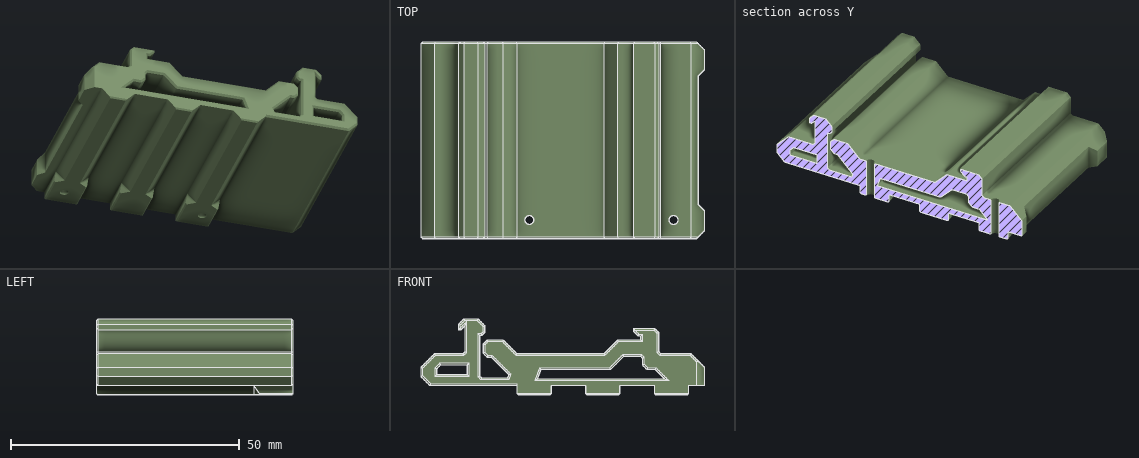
import cadquery as cq
import math

LENGTH_X = 62.0
WIDTH_Y = 43.0
HEIGHT = 16.6
END_X = LENGTH_X / 2
END_Y = WIDTH_Y / 2

BASE_Z = 2.0
DECK_Z = 9.0
RAISED_Z = 12.0
LIP_TOP_Z = 14.5
LEDGE_X = 28.0
SLOPE = 3.0
TOE = 2.0
ROOT = 0.4
EDGE_CHAMFER = 0.4

UPRIGHT_LEFT_X = -21.4
UPRIGHT_RIGHT_X = -18.1
HOOK_TIP_X = -22.8
HOOK_TOP_X = -21.6
HOOK_TIP_Z = 14.2
HEAD_TOP_X = -18.5
HEAD_RIGHT_X = -17.0
HEAD_BEVEL = HEAD_RIGHT_X - HEAD_TOP_X
HEAD_BOTTOM_Z = 13.0
TIP_FLAT = 0.6

SLOT_FLOOR_Z = 3.7
SLOT_END_X = -12.05
SLOT_CORNER_X = -11.8
SLOT_CORNER_Z = 4.4
NOSE_LEFT_X = -17.4
NOSE_BOTTOM_Z = 8.2
NOSE_BEVEL = 0.9

DECK_LEFT_X = -10.0
DECK_RIGHT_X = 9.0

LIP_WALL_X = 17.0
LIP_RIGHT_X = 21.0
LIP_TIP_X = 15.4
LIP_BEVEL = 0.9
LIP_TIP_Z = LIP_TOP_Z - TIP_FLAT
LIP_UNDER_X = 16.5
LIP_UNDER_Z = LIP_TIP_Z - (LIP_UNDER_X - LIP_TIP_X)

LEFT_HOLLOW_X = (-27.5, -20.9)
LEFT_HOLLOW_Z = (4.4, 6.5)
LEFT_HOLLOW_BEVEL = 0.8

HOLLOW_FLOOR_Z = 3.5
HOLLOW_DECK_Z = 5.5
HOLLOW_TOP_Z = 8.4
HOLLOW_LEFT_X = -5.5
HOLLOW_LEFT_TOP_X = -4.75
HOLLOW_RISE_X = 10.4
HOLLOW_WALL_X = 17.4
HOLLOW_CORNER = 0.4
HOLLOW_STEP_X = 18.4
HOLLOW_END_X = 20.2

PAD_WIDTH = 7.5
PAD_PITCH = 15.0
PAD_FIRST_X = -10.0
PAD_COUNT = 3
PAD_CHAMFER = 0.3
FLANK_START_Y = -12.9
FLANK_RUNOUT = BASE_Z / math.sqrt(2)

CORNER_CUT = 1.8
RECESS_DEPTH = 1.4
RECESS_HALF_WIDTH = 14.0

HOLE_DIAMETER = 1.9
HOLE_Y = -17.4
HOLES_X = (-7.3, 24.2)

OVERCUT = 1.0


def prism(points):
    """Extrude an XZ outline over the full width, centred on Y."""
    return cq.Workplane("XZ").polyline(points).close().extrude(END_Y, both=True)


def outer_outline():
    """Profile of the body without pads, clockwise from the lower left."""
    left_end = [
        (-END_X + TOE, BASE_Z),
        (-END_X, BASE_Z + TOE),
        (-END_X, DECK_Z - SLOPE),
        (-LEDGE_X, DECK_Z),
    ]
    hook = [
        (UPRIGHT_LEFT_X - ROOT, DECK_Z),
        (UPRIGHT_LEFT_X, DECK_Z + ROOT),
        (UPRIGHT_LEFT_X, HOOK_TIP_Z + UPRIGHT_LEFT_X - HOOK_TIP_X - TIP_FLAT),
        (HOOK_TIP_X + TIP_FLAT, HOOK_TIP_Z),
        (HOOK_TIP_X, HOOK_TIP_Z),
        (HOOK_TIP_X, HEIGHT - (HOOK_TOP_X - HOOK_TIP_X)),
        (HOOK_TOP_X, HEIGHT),
        (HEAD_TOP_X, HEIGHT),
        (HEAD_RIGHT_X, HEIGHT - HEAD_BEVEL),
        (HEAD_RIGHT_X, HEAD_BOTTOM_Z + TIP_FLAT),
        (HEAD_RIGHT_X - TIP_FLAT, HEAD_BOTTOM_Z),
        (UPRIGHT_RIGHT_X, HEAD_BOTTOM_Z),
    ]
    slot = [
        (UPRIGHT_RIGHT_X, SLOT_FLOOR_Z + ROOT),
        (UPRIGHT_RIGHT_X + ROOT, SLOT_FLOOR_Z),
        (SLOT_END_X, SLOT_FLOOR_Z),
        (SLOT_CORNER_X, SLOT_CORNER_Z),
        (SLOT_CORNER_X - (NOSE_BOTTOM_Z - SLOT_CORNER_Z), NOSE_BOTTOM_Z),
        (NOSE_LEFT_X + NOSE_BEVEL, NOSE_BOTTOM_Z),
        (NOSE_LEFT_X, NOSE_BOTTOM_Z + NOSE_BEVEL),
        (NOSE_LEFT_X, RAISED_Z - NOSE_BEVEL),
        (NOSE_LEFT_X + NOSE_BEVEL, RAISED_Z),
    ]
    deck = [
        (DECK_LEFT_X - SLOPE, RAISED_Z),
        (DECK_LEFT_X, DECK_Z),
        (DECK_RIGHT_X, DECK_Z),
        (DECK_RIGHT_X + SLOPE, RAISED_Z),
    ]
    lip = [
        (LIP_WALL_X, RAISED_Z),
        (LIP_WALL_X, LIP_UNDER_Z),
        (LIP_UNDER_X, LIP_UNDER_Z),
        (LIP_TIP_X, LIP_TIP_Z),
        (LIP_TIP_X, LIP_TOP_Z),
        (LIP_RIGHT_X - LIP_BEVEL, LIP_TOP_Z),
        (LIP_RIGHT_X, LIP_TOP_Z - LIP_BEVEL),
        (LIP_RIGHT_X, DECK_Z + ROOT),
        (LIP_RIGHT_X + ROOT, DECK_Z),
    ]
    right_end = [
        (LEDGE_X, DECK_Z),
        (END_X, DECK_Z - SLOPE),
        (END_X, BASE_Z),
    ]
    return left_end + hook + slot + deck + lip + right_end


def left_hollow_outline():
    left, right = LEFT_HOLLOW_X
    bottom, top = LEFT_HOLLOW_Z
    return [
        (left, bottom),
        (right, bottom),
        (right, top),
        (left + LEFT_HOLLOW_BEVEL, top),
        (left, top - LEFT_HOLLOW_BEVEL),
    ]


def main_hollow_outline():
    step_rise = HOLLOW_STEP_X - HOLLOW_WALL_X
    return [
        (HOLLOW_LEFT_X, HOLLOW_FLOOR_Z),
        (HOLLOW_LEFT_TOP_X, HOLLOW_DECK_Z),
        (HOLLOW_RISE_X, HOLLOW_DECK_Z),
        (HOLLOW_RISE_X + HOLLOW_TOP_Z - HOLLOW_DECK_Z, HOLLOW_TOP_Z),
        (HOLLOW_WALL_X - HOLLOW_CORNER, HOLLOW_TOP_Z),
        (HOLLOW_WALL_X, HOLLOW_TOP_Z - HOLLOW_CORNER),
        (HOLLOW_WALL_X, HOLLOW_DECK_Z + step_rise),
        (HOLLOW_STEP_X, HOLLOW_DECK_Z),
        (HOLLOW_END_X, HOLLOW_DECK_Z),
        (HOLLOW_END_X + HOLLOW_DECK_Z - HOLLOW_FLOOR_Z, HOLLOW_FLOOR_Z),
    ]


def make_body():
    """Chamfer the profile edges at both end faces, keeping the underside beside the pads sharp."""
    body = prism(outer_outline())
    body = body.cut(prism(left_hollow_outline())).cut(prism(main_hollow_outline()))
    body = body.faces("<Y or >Y").edges().chamfer(EDGE_CHAMFER)
    sharp_underside = prism([
        (PAD_FIRST_X, BASE_Z),
        (END_X, BASE_Z),
        (END_X, BASE_Z + EDGE_CHAMFER),
        (PAD_FIRST_X, BASE_Z + EDGE_CHAMFER),
    ])
    return body.union(sharp_underside)


def flank_cutter(edge_x, inward):
    """Polyhedron that slopes one pad flank at 45 degrees and runs out near the -Y end."""
    bottom_x = edge_x + inward * BASE_Z
    runout_y = FLANK_START_Y - FLANK_RUNOUT
    top_front = cq.Vector(edge_x, FLANK_START_Y, BASE_Z)
    top_back = cq.Vector(edge_x, END_Y, BASE_Z)
    inner_front = cq.Vector(bottom_x, FLANK_START_Y, 0)
    inner_back = cq.Vector(bottom_x, END_Y, 0)
    outer_front = cq.Vector(edge_x, runout_y, 0)
    outer_back = cq.Vector(edge_x, END_Y, 0)
    loops = [
        [top_front, top_back, inner_back, inner_front],
        [top_front, inner_front, outer_front],
        [top_front, outer_front, outer_back, top_back],
        [outer_front, inner_front, inner_back, outer_back],
        [top_back, outer_back, inner_back],
    ]
    faces = [cq.Face.makeFromWires(cq.Wire.makePolygon(loop, close=True)) for loop in loops]
    return cq.Workplane(cq.Solid.makeSolid(cq.Shell.makeShell(faces)))


def make_pad(left_x):
    """Pad with a bevelled underside and sloping flanks."""
    pad = (
        cq.Workplane("XY")
        .center(left_x + PAD_WIDTH / 2, 0)
        .rect(PAD_WIDTH, WIDTH_Y)
        .extrude(BASE_Z)
        .faces("<Z")
        .edges()
        .chamfer(PAD_CHAMFER)
    )
    pad = pad.cut(flank_cutter(left_x, 1))
    return pad.cut(flank_cutter(left_x + PAD_WIDTH, -1))


def right_end_cutter():
    """Everything outside the plan outline at the right end: two corners and the recess."""
    recess_x = END_X - RECESS_DEPTH
    recess = (
        cq.Workplane("XY")
        .polyline([
            (END_X, -RECESS_HALF_WIDTH - RECESS_DEPTH),
            (recess_x, -RECESS_HALF_WIDTH),
            (recess_x, RECESS_HALF_WIDTH),
            (END_X, RECESS_HALF_WIDTH + RECESS_DEPTH),
        ])
        .close()
        .extrude(HEIGHT)
    )
    corner = (
        cq.Workplane("XY")
        .polyline([(END_X - CORNER_CUT, END_Y), (END_X, END_Y - CORNER_CUT), (END_X, END_Y)])
        .close()
        .extrude(HEIGHT)
    )
    return recess.union(corner).union(corner.mirror("XZ"))


def hole_cutter():
    return (
        cq.Workplane("XY", origin=(0, 0, -OVERCUT))
        .pushPoints([(x, HOLE_Y) for x in HOLES_X])
        .circle(HOLE_DIAMETER / 2)
        .extrude(HEIGHT + 2 * OVERCUT)
    )


result = make_body()
for index in range(PAD_COUNT):
    result = result.union(make_pad(PAD_FIRST_X + index * PAD_PITCH))
result = result.cut(right_end_cutter())
result = result.cut(hole_cutter())